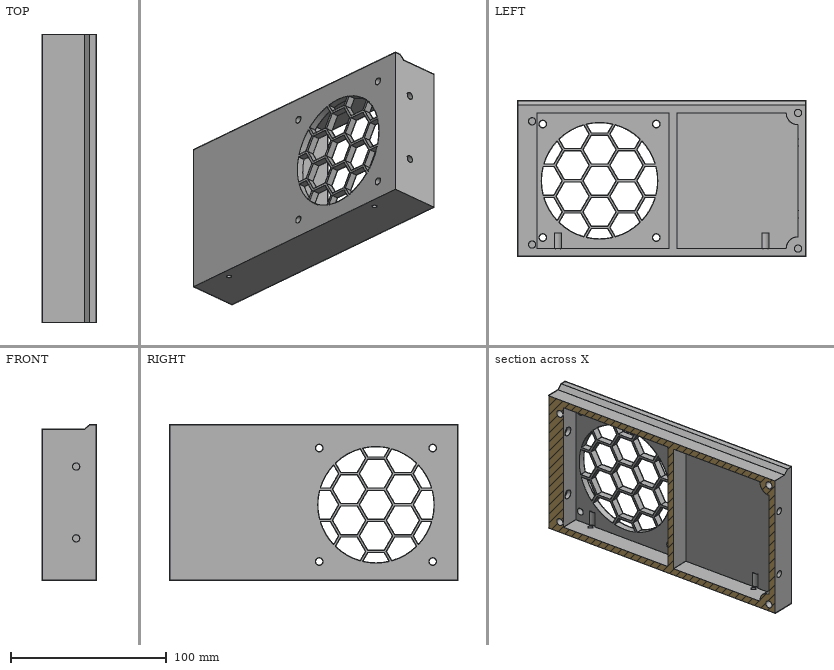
import cadquery as cq
import math

depth = 34.8
length = 185.0
overall_height = 100.0
ridge_height = 3.0
body_height = overall_height - ridge_height

ridge_top_width = 4.3
ridge_slope_run = 3.3

wall = 5.0
thick_end_wall = 12.4
divider_near = 82.7
divider_far = divider_near + wall
back_plate = 4.8
pocket_depth = depth - back_plate
pocket_height = body_height - 2 * wall
pocket_top = wall + pocket_height
fan_pocket_end = length - thick_end_wall

screw_hole_diameter = 4.6
post_radius = 7.5
cover_hole_end_distance = 9.3
cover_hole_bottom = 7.5
cover_hole_top = 86.8

fan_y = 132.5
fan_z = wall + pocket_height / 2
fan_opening_diameter = 74.5
fan_hole_spacing = 72.9
hexagon_pitch = 20.0
grille_rib = 1.7

side_columns = 2
side_rows = 3

side_hole_x = 21.8
side_hole_spacing = 46.0
side_hole_heights = (
    (overall_height - side_hole_spacing) / 2,
    (overall_height + side_hole_spacing) / 2,
)
recess_diameter = 6.0
recess_depth = 3.1

pilot_diameter = 3.1
groove_diameter = 6.0
groove_height = 10.0
pilot_plate_gap = 1.9
pilot_x = pocket_depth - pilot_plate_gap
pilot_end_distance = 25.9


def box(x_range, y_range, z_range):
    size = [high - low for low, high in (x_range, y_range, z_range)]
    corner = (x_range[0], y_range[0], z_range[0])
    return cq.Workplane("XY").box(*size, centered=False).translate(corner)


def cylinder_x(y, z, diameter, x_start, x_end):
    plane = cq.Workplane("YZ", origin=(x_start, y, z))
    return plane.circle(diameter / 2).extrude(x_end - x_start)


def cylinder_y(x, z, diameter, y_start, y_end):
    plane = cq.Workplane("XZ", origin=(x, y_start, z))
    return plane.circle(diameter / 2).extrude(y_start - y_end)


def cylinder_z(x, y, diameter, z_start, z_end):
    plane = cq.Workplane("XY", origin=(x, y, z_start))
    return plane.circle(diameter / 2).extrude(z_end - z_start)


def make_body():
    ridge_front = depth - ridge_top_width
    profile = [
        (0, 0),
        (depth, 0),
        (depth, overall_height),
        (ridge_front, overall_height),
        (ridge_front - ridge_slope_run, body_height),
        (0, body_height),
    ]
    return cq.Workplane("XZ").polyline(profile).close().extrude(-length)


def make_fan_pocket():
    return box((0, pocket_depth), (divider_far, fan_pocket_end), (wall, pocket_top))


def make_plain_pocket():
    pocket = box((0, pocket_depth), (wall, divider_near), (wall, pocket_top))
    for z in (wall, pocket_top):
        pocket = pocket.cut(cylinder_x(wall, z, 2 * post_radius, 0, pocket_depth))
    return pocket


def make_grille_openings():
    """Hexagonal cells, trimmed to the round fan opening."""
    cell_diameter = (hexagon_pitch - grille_rib) / math.cos(math.pi / 6)
    column_pitch = hexagon_pitch * math.cos(math.pi / 6)
    centres = []
    for column in range(-side_columns, side_columns + 1):
        stagger = hexagon_pitch / 2 if column % 2 else 0
        for row in range(-side_rows, side_rows + 1):
            centres.append((column * column_pitch, row * hexagon_pitch + stagger))
    plane = cq.Workplane("YZ", origin=(pocket_depth, fan_y, fan_z))
    cells = plane.pushPoints(centres).polygon(6, cell_diameter).extrude(back_plate)
    return cells.intersect(cylinder_x(fan_y, fan_z, fan_opening_diameter, pocket_depth, depth))


result = make_body()
result = result.cut(make_fan_pocket())
result = result.cut(make_plain_pocket())
result = result.cut(make_grille_openings())

for y in (fan_y - fan_hole_spacing / 2, fan_y + fan_hole_spacing / 2):
    for z in (fan_z - fan_hole_spacing / 2, fan_z + fan_hole_spacing / 2):
        result = result.cut(cylinder_x(y, z, screw_hole_diameter, pocket_depth, depth))

cover_holes = [
    (wall, wall),
    (wall, pocket_top),
    (length - cover_hole_end_distance, cover_hole_bottom),
    (length - cover_hole_end_distance, cover_hole_top),
]
for y, z in cover_holes:
    result = result.cut(cylinder_x(y, z, screw_hole_diameter, 0, pocket_depth))

recess_end = fan_pocket_end + recess_depth
for z in side_hole_heights:
    result = result.cut(cylinder_y(side_hole_x, z, screw_hole_diameter, 0, wall))
    result = result.cut(cylinder_y(side_hole_x, z, screw_hole_diameter, fan_pocket_end, length))
    result = result.cut(cylinder_y(side_hole_x, z, recess_diameter, fan_pocket_end, recess_end))

for y in (pilot_end_distance, length - pilot_end_distance):
    result = result.cut(cylinder_z(pilot_x, y, pilot_diameter, 0, wall))
    result = result.cut(cylinder_z(pilot_x, y, groove_diameter, wall, wall + groove_height))